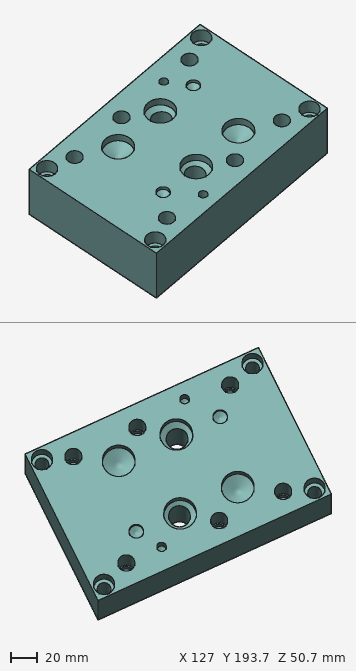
import cadquery as cq
import math

WIDTH = 127.0
LENGTH = 193.7
HEIGHT = 50.7

POINT_ANGLE = 120.0

MOUNT_X = 54.0
MOUNT_Y = 87.3
MOUNT_DIA = 10.3
COUNTERBORE_DIA = 15.9
COUNTERBORE_DEPTH = 12.5

BOLT_X = 46.0
BOLT_OUTER_Y = 65.0
BOLT_INNER_Y = 12.0
THREAD_DIA = 12.8
THREAD_DEPTH = 27.1
TAP_DRILL_DIA = 10.7
TAP_DRILL_DEPTH = 33.0

PORT_X = 28.5
PORT_OUTER_Y = 35.8
PORT_INNER_Y = 12.0
PORT_DIA = 24.6
PORT_DEPTH = 7.0

PASSAGE_DIA = 16.3
PASSAGE_X = 27.7
PASSAGE_Y = 12.2

PILOT_X = 27.0
PILOT_Y = 47.6
PILOT_DIA = 10.8
PILOT_DEPTH = 3.0

LEFT_PIN = (-BOLT_X, PORT_OUTER_Y)
RIGHT_PIN = (50.7, -29.5)
PIN_DIA = 7.2
PIN_DEPTH = 9.7


def drilled_hole(point, diameter, depth):
    """Cutter for a blind hole in the top face: a cylinder above a drill point."""
    radius = diameter / 2
    point_depth = radius / math.tan(math.radians(POINT_ANGLE / 2))
    profile = (
        cq.Workplane("XZ")
        .moveTo(0, 0)
        .lineTo(radius, 0)
        .lineTo(radius, -depth)
        .lineTo(0, -depth - point_depth)
        .close()
    )
    cutter = profile.revolve(360, (0, 0, 0), (0, 1, 0))
    return cutter.translate((point[0], point[1], HEIGHT))


def round_hole(point, diameter, depth):
    """Cutter for a flat-bottomed hole in the top face."""
    top_plane = cq.Workplane("XY", origin=(point[0], point[1], HEIGHT))
    return top_plane.circle(diameter / 2).extrude(-depth)


def four_corners(x, y):
    """The four points mirrored about the block's centre planes."""
    return [(side * x, end * y) for side in (-1, 1) for end in (-1, 1)]


def opposite_pair(x, y):
    """A point and its half-turn partner about the block centre."""
    return [(x, y), (-x, -y)]


body = cq.Workplane("XY").box(WIDTH, LENGTH, HEIGHT, centered=(True, True, False))

for corner in four_corners(MOUNT_X, MOUNT_Y):
    body = body.cut(round_hole(corner, MOUNT_DIA, HEIGHT))
    body = body.cut(round_hole(corner, COUNTERBORE_DIA, COUNTERBORE_DEPTH))

for bolt in four_corners(BOLT_X, BOLT_OUTER_Y) + opposite_pair(BOLT_X, BOLT_INNER_Y):
    body = body.cut(drilled_hole(bolt, TAP_DRILL_DIA, TAP_DRILL_DEPTH))
    body = body.cut(round_hole(bolt, THREAD_DIA, THREAD_DEPTH))

for port in opposite_pair(PORT_X, PORT_OUTER_Y) + opposite_pair(-PORT_X, PORT_INNER_Y):
    body = body.cut(drilled_hole(port, PORT_DIA, PORT_DEPTH))

for passage in opposite_pair(-PASSAGE_X, PASSAGE_Y):
    body = body.cut(round_hole(passage, PASSAGE_DIA, HEIGHT))

for pilot in opposite_pair(-PILOT_X, PILOT_Y):
    body = body.cut(drilled_hole(pilot, PILOT_DIA, PILOT_DEPTH))

for pin in (LEFT_PIN, RIGHT_PIN):
    body = body.cut(drilled_hole(pin, PIN_DIA, PIN_DEPTH))

result = body